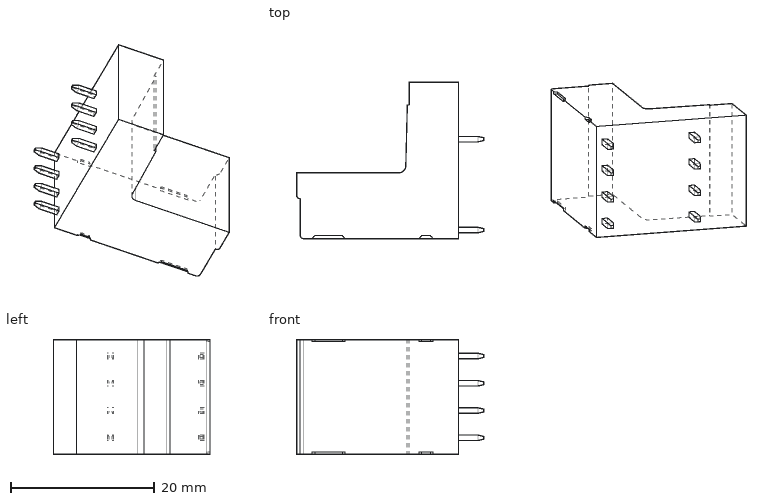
import cadquery as cq

height = 16.03
overall_length = 26.2
housing_length = 22.65
housing_depth = 21.9
foot_depth = 9.25
arm_tip_width = 6.9

arm_step_y = 18.7
arm_step_width = 7.18
arm_root_width = 7.42
inner_corner_radius = 0.9

lip_setback = 0.5
lip_bottom_y = 5.6
end_radius = 0.5

notch_depth_y = 0.45
notch_depth_z = 0.3
notch_end_run = 0.4
notch_spans = [(2.15, 6.8), (17.1, 19.1)]

pin_width = 0.8
pin_tip_width = 0.4
pin_length = overall_length - housing_length
pin_taper_length = 0.85
pin_embed = 1.0
pin_pitch = 3.81
pins_per_row = 4
first_row_y = 1.22
row_spacing = 12.7


def make_housing():
    foot_end_x = -housing_length
    set_back_x = foot_end_x + lip_setback
    profile = (
        cq.Workplane("XY")
        .moveTo(0, 0)
        .lineTo(0, housing_depth)
        .lineTo(-arm_tip_width, housing_depth)
        .lineTo(-arm_tip_width, arm_step_y)
        .lineTo(-arm_step_width, arm_step_y)
        .lineTo(-arm_root_width, foot_depth)
        .lineTo(foot_end_x, foot_depth)
        .lineTo(foot_end_x, lip_bottom_y + end_radius)
        .radiusArc((foot_end_x + end_radius, lip_bottom_y), -end_radius)
        .lineTo(set_back_x, end_radius)
        .radiusArc((set_back_x + end_radius, 0), -end_radius)
        .close()
    )
    body = profile.extrude(height / 2, both=True)
    inner_corner = cq.selectors.NearestToPointSelector((-arm_root_width, foot_depth, 0))
    return body.edges(inner_corner).fillet(inner_corner_radius)


def make_notch(start, end, bottom_z):
    start_x = start - housing_length
    end_x = end - housing_length
    return (
        cq.Workplane("XY", origin=(0, 0, bottom_z))
        .moveTo(start_x, 0)
        .lineTo(start_x + notch_end_run, notch_depth_y)
        .lineTo(end_x - notch_end_run, notch_depth_y)
        .lineTo(end_x, 0)
        .close()
        .extrude(notch_depth_z)
    )


def make_pin(y, z):
    taper_start_x = pin_length - pin_taper_length
    shank = (
        cq.Workplane("YZ", origin=(-pin_embed, y, z))
        .rect(pin_width, pin_width)
        .extrude(pin_embed + taper_start_x)
    )
    tip = (
        cq.Workplane("YZ", origin=(taper_start_x, y, z))
        .rect(pin_width, pin_width)
        .workplane(offset=pin_taper_length)
        .rect(pin_tip_width, pin_tip_width)
        .loft(ruled=True)
    )
    return shank.union(tip)


result = make_housing()

for span_start, span_end in notch_spans:
    for notch_bottom_z in (-height / 2, height / 2 - notch_depth_z):
        result = result.cut(make_notch(span_start, span_end, notch_bottom_z))

for row_y in (first_row_y, first_row_y + row_spacing):
    for index in range(pins_per_row):
        pin_z = (index - (pins_per_row - 1) / 2) * pin_pitch
        result = result.union(make_pin(row_y, pin_z))